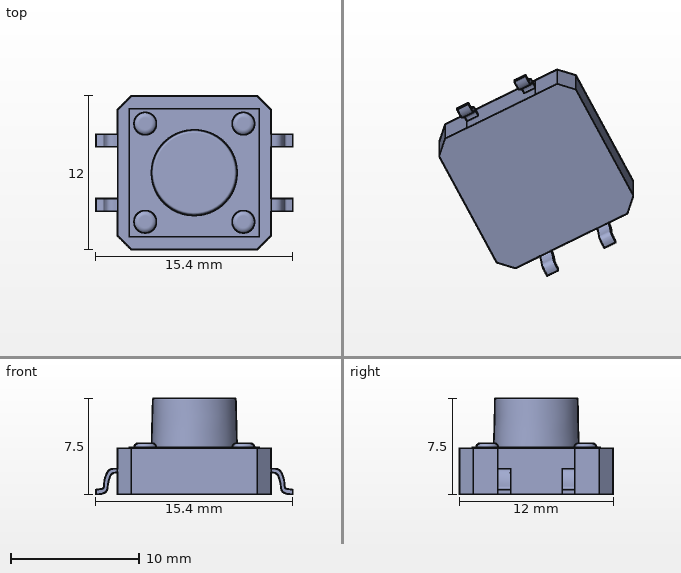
import cadquery as cq

BODY_SIZE_X = 12.0
BODY_SIZE_Y = 12.01
BODY_HEIGHT = 3.6
CORNER_CUT = 1.09

RELIEF_DEPTH = 0.01
LEAD_OUTER_Y = 3.01

PLATE_SIZE_X = 10.16
PLATE_SIZE_Y = 9.96
PLATE_THICKNESS = 0.05

RIVET_PITCH = 7.66
RIVET_RADIUS = 0.88
RIVET_HEIGHT = 0.4
RIVET_FLAT_RADIUS = 0.49

TOTAL_HEIGHT = 7.5
BUTTON_BASE_RADIUS = 3.35
BUTTON_TOP_RADIUS = 3.25
BUTTON_EDGE_FILLET = 0.14

LEAD_SPAN = 15.37
LEAD_WIDTH = 1.0
LEAD_TOP_Z = 2.0
LEAD_THICKNESS = 0.32
FOOT_THICKNESS = 0.365
LEAD_EMBED = 0.02

UPPER_SHOULDER_START = 0.3
UPPER_SHOULDER_END = (0.8, 1.7)
UPPER_SHANK_END = (1.06, 0.62)
UPPER_FOOT_START = (1.22, 0.43)
LOWER_FOOT_END = 1.44
HEEL_MIDDLE = (1.04, 0.09)
HEEL_END = (0.76, 0.5)
LOWER_SHANK_END = (0.56, 1.4)
LOWER_SHOULDER_END = 0.15


def make_body():
    body = cq.Workplane("XY").box(BODY_SIZE_X, BODY_SIZE_Y, BODY_HEIGHT, centered=(True, True, False))
    body = body.edges("|Z").chamfer(CORNER_CUT)
    for side in (-1, 1):
        relief = cq.Workplane("XY").box(
            2 * RELIEF_DEPTH, 2 * LEAD_OUTER_Y, BODY_HEIGHT, centered=(True, True, False)
        )
        body = body.cut(relief.translate((side * BODY_SIZE_X / 2, 0, 0)))
    return body


def make_plate():
    plate = cq.Workplane("XY").box(PLATE_SIZE_X, PLATE_SIZE_Y, PLATE_THICKNESS, centered=(True, True, False))
    return plate.translate((0, 0, BODY_HEIGHT))


def make_rivets():
    return (
        cq.Workplane("XY", origin=(0, 0, BODY_HEIGHT))
        .rect(RIVET_PITCH, RIVET_PITCH, forConstruction=True)
        .vertices()
        .circle(RIVET_RADIUS)
        .extrude(RIVET_HEIGHT)
        .faces(">Z")
        .edges()
        .fillet(RIVET_RADIUS - RIVET_FLAT_RADIUS)
    )


def make_button():
    profile = (
        cq.Workplane("XZ")
        .moveTo(0, BODY_HEIGHT)
        .lineTo(BUTTON_BASE_RADIUS, BODY_HEIGHT)
        .lineTo(BUTTON_TOP_RADIUS, TOTAL_HEIGHT)
        .lineTo(0, TOTAL_HEIGHT)
        .close()
    )
    button = profile.revolve(360, (0, 0, 0), (0, 1, 0))
    return button.faces(">Z").edges().fillet(BUTTON_EDGE_FILLET)


def make_lead():
    """S-shaped lead on the +X side, centred on Y = 0."""
    wall = BODY_SIZE_X / 2
    root = -LEAD_EMBED
    tip = LEAD_SPAN / 2 - wall
    under_z = LEAD_TOP_Z - LEAD_THICKNESS
    return (
        cq.Workplane("XZ", origin=(wall, LEAD_WIDTH / 2, 0))
        .moveTo(root, LEAD_TOP_Z)
        .lineTo(UPPER_SHOULDER_START, LEAD_TOP_Z)
        .tangentArcPoint(UPPER_SHOULDER_END, relative=False)
        .tangentArcPoint(UPPER_SHANK_END, relative=False)
        .tangentArcPoint(UPPER_FOOT_START, relative=False)
        .lineTo(tip, FOOT_THICKNESS)
        .lineTo(tip, 0)
        .lineTo(LOWER_FOOT_END, 0)
        .tangentArcPoint(HEEL_MIDDLE, relative=False)
        .tangentArcPoint(HEEL_END, relative=False)
        .tangentArcPoint(LOWER_SHANK_END, relative=False)
        .tangentArcPoint((LOWER_SHOULDER_END, under_z), relative=False)
        .lineTo(root, under_z)
        .close()
        .extrude(LEAD_WIDTH)
    )


def make_leads():
    lead_y = LEAD_OUTER_Y - LEAD_WIDTH / 2
    right = make_lead()
    left = right.mirror("YZ")
    leads = cq.Workplane("XY")
    for lead in (left, right):
        for y in (-lead_y, lead_y):
            leads = leads.add(lead.translate((0, y, 0)))
    return leads.combine()


result = make_body().union(make_plate()).union(make_rivets()).union(make_button()).union(make_leads())